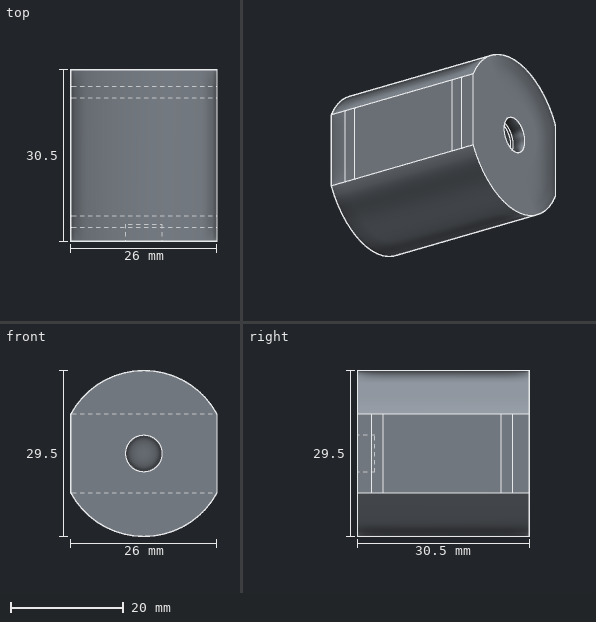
import cadquery as cq
import math

housing_diameter = 29.5
housing_length = 30.5
width_across_flats = 26.0
half_width = width_across_flats / 2
flat_height = 2 * math.sqrt((housing_diameter / 2) ** 2 - half_width**2)

plate_thickness = 2.0
front_wall = 2.5
back_wall = 3.0
front_plate_start = front_wall
back_plate_start = housing_length - back_wall - plate_thickness

opening_diameter = 6.5
recess_depth = 0.5


def plate_blank(start):
    """Plain cross plate from y = start toward +Y, flush with both side flats and as tall as they are."""
    blank = cq.Workplane("XZ").rect(width_across_flats, flat_height).extrude(-plate_thickness)
    return blank.translate((0, start, 0))


front_opening = cq.Workplane("XZ").circle(opening_diameter / 2).extrude(-(front_wall + recess_depth))


def make_bar():
    """Solid bar: two round crowns joined by the side flats."""
    radius = housing_diameter / 2
    half_flat = flat_height / 2
    outline = (
        cq.Workplane("XZ")
        .moveTo(-half_width, half_flat)
        .threePointArc((0, radius), (half_width, half_flat))
        .lineTo(half_width, -half_flat)
        .threePointArc((0, -radius), (-half_width, -half_flat))
        .close()
    )
    return outline.extrude(-housing_length)


def make_housing():
    """Bar with the two plate slots and the front opening."""
    body = make_bar()
    for start in (front_plate_start, back_plate_start):
        body = body.cut(plate_blank(start))
    return body.cut(front_opening)


def make_front_plate():
    """Plate with the shallow round recess that lines up with the front opening."""
    return plate_blank(front_plate_start).cut(front_opening)


def make_back_plate():
    """Plain plate near the +Y end."""
    return plate_blank(back_plate_start)


housing = make_housing()
front_plate = make_front_plate()
back_plate = make_back_plate()

result = cq.Compound.makeCompound([housing.val(), front_plate.val(), back_plate.val()])